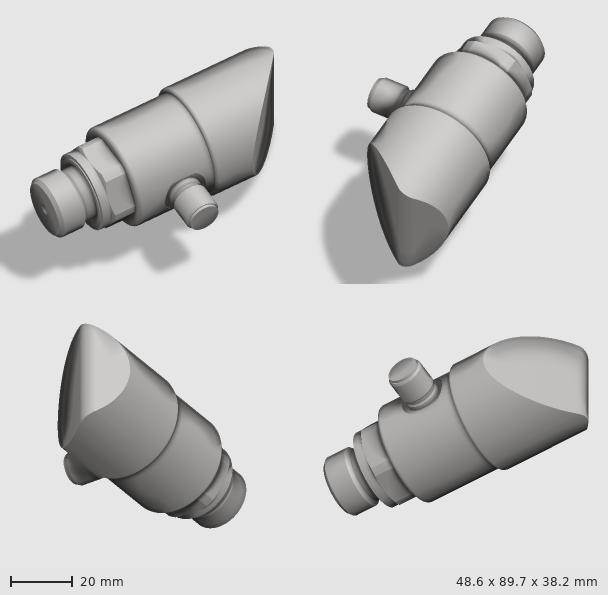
import cadquery as cq
import math

TOTAL_LENGTH = 89.65

THREAD_DIAMETER = 20.95
NECK_DIAMETER = 18.4
THREAD_CHAMFER = (THREAD_DIAMETER - NECK_DIAMETER) / 2
THREAD_LENGTH = 10.1
PORT_DIAMETER = 3.5
PORT_DEPTH = 10.0

COLLAR_DIAMETER = 26.9
COLLAR_START = 13.9
SEAL_RING_DIAMETER = 23.9
SEAL_RING_HEIGHT = 0.25
SEAL_RING_START = COLLAR_START - SEAL_RING_HEIGHT
COUNTERSINK_DIAMETER = 20.9
COUNTERSINK_DEPTH = 0.7
HEX_START = 16.95
HEX_ACROSS_FLATS = 27.0
HEX_CORNER_DIAMETER = 29.6
HEX_CHAMFER_ANGLE = 30.0

HOUSING_START = 25.25
HOUSING_DIAMETER = 35.0
HOUSING_FILLET = 1.3
CAP_START = 53.4
CAP_DIAMETER = 38.2
CAP_FILLET = 1.0
CAP_RADIUS = CAP_DIAMETER / 2

BACK_EDGE_Y = 82.1
BACK_SLOPE_ANGLE = 36.3
RIDGE_RADIUS = 5.0
DISPLAY_SLOPE_ANGLE = 39.0
DISPLAY_EDGE_Y = 66.8

CONNECTOR_Y = 42.5
CONNECTOR_END = 29.5
SPOTFACE_DIAMETER = 15.4
SPOTFACE_X = 16.3
CONNECTOR_BASE_DIAMETER = 11.5
CONNECTOR_NECK_DIAMETER = 10.4
CONNECTOR_BASE_CHAMFER = (CONNECTOR_BASE_DIAMETER - CONNECTOR_NECK_DIAMETER) / 2
CONNECTOR_BASE_END = 18.3
CONNECTOR_THREAD_DIAMETER = 12.0
CONNECTOR_THREAD_START = 19.65
CONNECTOR_THREAD_END = 28.55
CONNECTOR_THREAD_CHAMFER = 0.55
CONNECTOR_TIP_CHAMFER_LENGTH = 0.8
CONNECTOR_TIP_CHAMFER_DEPTH = 0.4


def cylinder(diameter, start, end):
    """Solid cylinder on the Y axis between two Y positions."""
    profile = cq.Workplane("XZ", origin=(0, start, 0)).circle(diameter / 2)
    return profile.extrude(start - end)


def make_stub():
    """Chamfered thread, plain neck and the blind pressure port."""
    thread = cylinder(THREAD_DIAMETER, 0, THREAD_LENGTH).edges().chamfer(THREAD_CHAMFER)
    neck = cylinder(NECK_DIAMETER, THREAD_LENGTH, HEX_START)
    port = cylinder(PORT_DIAMETER, 0, PORT_DEPTH)
    return thread.union(neck).cut(port)


def make_collar():
    """Collar with a raised seal ring, countersunk where the neck enters it."""
    collar = cylinder(COLLAR_DIAMETER, COLLAR_START, HEX_START)
    seal_ring = cylinder(SEAL_RING_DIAMETER, SEAL_RING_START, HEX_START)
    countersink = (
        cq.Workplane("XY")
        .moveTo(0, SEAL_RING_START)
        .lineTo(COUNTERSINK_DIAMETER / 2, SEAL_RING_START)
        .lineTo(NECK_DIAMETER / 2, SEAL_RING_START + COUNTERSINK_DEPTH)
        .lineTo(0, SEAL_RING_START + COUNTERSINK_DEPTH)
        .close()
        .revolve(360, (0, 0, 0), (0, 1, 0))
    )
    return collar.union(seal_ring).cut(countersink)


def make_hexagon():
    """Hexagon with corners on the X axis, turned down and chamfered at the collar end."""
    corner_distance = HEX_ACROSS_FLATS / math.cos(math.radians(30))
    prism = (
        cq.Workplane("XZ", origin=(0, HEX_START, 0))
        .polygon(6, corner_distance)
        .extrude(HEX_START - HOUSING_START)
    )
    face_radius = COLLAR_DIAMETER / 2
    corner_radius = HEX_CORNER_DIAMETER / 2
    chamfer_length = (corner_radius - face_radius) * math.tan(math.radians(HEX_CHAMFER_ANGLE))
    turned_blank = (
        cq.Workplane("XY")
        .moveTo(0, HEX_START)
        .lineTo(face_radius, HEX_START)
        .lineTo(corner_radius, HEX_START + chamfer_length)
        .lineTo(corner_radius, HOUSING_START)
        .lineTo(0, HOUSING_START)
        .close()
        .revolve(360, (0, 0, 0), (0, 1, 0))
    )
    return prism.intersect(turned_blank)


def make_housing():
    """Round housing with a rounded lower rim and a spotface for the connector."""
    housing = cylinder(HOUSING_DIAMETER, HOUSING_START, CAP_START)
    housing = housing.faces("<Y").edges().fillet(HOUSING_FILLET)
    spotface = (
        cq.Workplane("YZ", origin=(SPOTFACE_X, CONNECTOR_Y, 0))
        .circle(SPOTFACE_DIAMETER / 2)
        .extrude(HOUSING_DIAMETER / 2)
    )
    return housing.cut(spotface)


def make_cap():
    """Round cap whose far end follows the back slope, ridge and display face."""
    blank = cylinder(CAP_DIAMETER, CAP_START, TOTAL_LENGTH)
    blank = blank.faces("<Y").edges().fillet(CAP_FILLET)

    back_angle = math.radians(BACK_SLOPE_ANGLE)
    display_angle = math.radians(DISPLAY_SLOPE_ANGLE)
    ridge_center_y = TOTAL_LENGTH - RIDGE_RADIUS
    back_tangent_y = ridge_center_y + RIDGE_RADIUS * math.cos(back_angle)
    back_tangent_x = (back_tangent_y - BACK_EDGE_Y) / math.tan(back_angle) - CAP_RADIUS
    ridge_x = back_tangent_x + RIDGE_RADIUS * math.sin(back_angle)
    display_tangent = (
        ridge_x + RIDGE_RADIUS * math.sin(display_angle),
        ridge_center_y + RIDGE_RADIUS * math.cos(display_angle),
    )
    side_outline = (
        cq.Workplane("XY", origin=(0, 0, -CAP_RADIUS))
        .moveTo(-CAP_RADIUS, CAP_START)
        .lineTo(-CAP_RADIUS, BACK_EDGE_Y)
        .lineTo(back_tangent_x, back_tangent_y)
        .threePointArc((ridge_x, TOTAL_LENGTH), display_tangent)
        .tangentArcPoint((CAP_RADIUS, DISPLAY_EDGE_Y), relative=False)
        .lineTo(CAP_RADIUS, CAP_START)
        .close()
        .extrude(CAP_DIAMETER)
    )
    return blank.intersect(side_outline)


def make_connector():
    """Round plug connector: chamfered base, neck, chamfered thread and tip."""

    def section(diameter, start, end):
        profile = cq.Workplane("YZ", origin=(start, CONNECTOR_Y, 0)).circle(diameter / 2)
        return profile.extrude(end - start)

    base = section(CONNECTOR_BASE_DIAMETER, 0, CONNECTOR_BASE_END)
    base = base.faces(">X").edges().chamfer(CONNECTOR_BASE_CHAMFER)
    core = section(CONNECTOR_NECK_DIAMETER, 0, CONNECTOR_END)
    thread = section(CONNECTOR_THREAD_DIAMETER, CONNECTOR_THREAD_START, CONNECTOR_THREAD_END)
    thread = thread.faces("<X").edges().chamfer(CONNECTOR_THREAD_CHAMFER)
    thread = thread.faces(">X").edges().chamfer(CONNECTOR_TIP_CHAMFER_LENGTH, CONNECTOR_TIP_CHAMFER_DEPTH)
    return base.union(core).union(thread)


result = make_stub()
for section_solid in (make_collar(), make_hexagon(), make_housing(), make_cap(), make_connector()):
    result = result.union(section_solid)